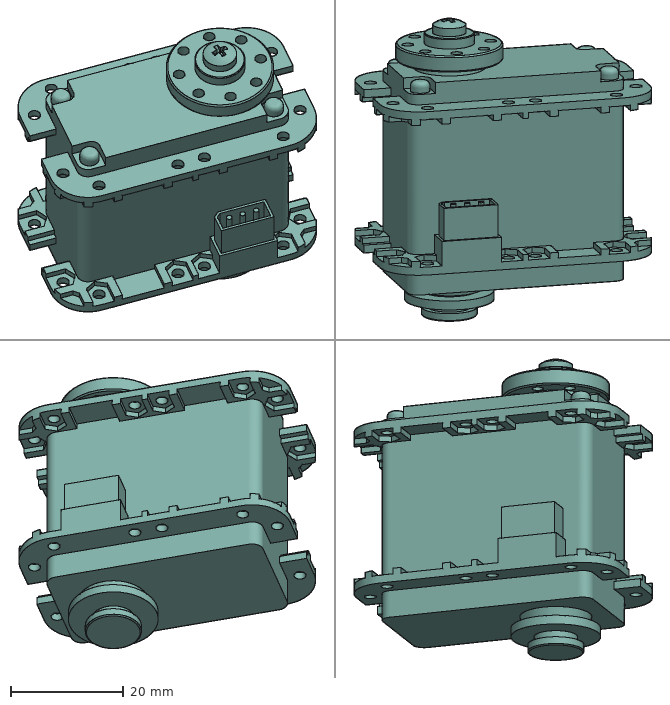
import cadquery as cq
import math


case_x = 20.0
case_y = 40.0
case_z = 39.0
case_corner_radius = 2.05
axis_y = case_x / 2

recess_size = 4.7
recess_depth = 2.0
recess_corner_radius = 1.6
screw_inset = 2.5
screw_diameter = 3.5
screw_height = 1.9
screw_dome_radius = 0.9

boss_base_diameter = 12.85
boss_end_diameter = 12.2
top_boss_height = 1.45
bottom_boss_height = 1.65

flange_x = 30.0
flange_y = 50.0
flange_corner_radius = 7.1
plate_thickness = 1.45
rib_height = 1.05
rib_width = 1.5
slot_width = 6.0
lower_flange_z = 4.95
upper_flange_drop = 3.9
hole_diameter = 2.1
hole_inset = 2.5
inner_hole_y = 2.5
outer_hole_y = 17.5
end_hole_x = 7.5
nut_width = 4.0
corner_pocket_bevel = 0.9

socket_base_y = 11.0
socket_base_top = 10.95
socket_y = 10.0
socket_top = 16.9
socket_step = 0.5
socket_wall = 0.5
socket_bevel = 1.0
pin_diameter = 1.0
pin_pitch = 2.55
pin_shift = 0.3
pin_count = 3

horn_diameter = 19.2
horn_thickness = 3.0
horn_chamfer = 0.25
collar_diameter = 9.0
collar_height = 1.9
collar_chamfer = 0.15
horn_hole_diameter = 2.0
horn_hole_circle_radius = 7.5
horn_hole_count = 8
horn_turn = -5.3
head_diameter = 6.0
head_side_height = 1.45
head_height = 2.45
drive_length = 3.15
drive_width = 0.75
drive_core_diameter = 1.1
drive_depth = 1.2
drive_turn = 14.0

washer_diameter = 16.0
washer_thickness = 1.65
washer_hub_height = 0.465
bushing_neck_diameter = 7.8
bushing_neck_height = 1.45
bushing_cap_diameter = 10.0
bushing_cap_height = 1.45
bushing_chamfer = 0.2

nut_corner_diameter = nut_width / math.cos(math.radians(30))
side_hole_x = flange_x / 2 - hole_inset
end_hole_y = flange_y / 2 - hole_inset
rib_reach = nut_width / 2 + rib_width
horn_z = case_z + top_boss_height
collar_z = horn_z + horn_thickness
head_z = collar_z + collar_height
washer_hub_z = -bottom_boss_height
washer_z = washer_hub_z - washer_hub_height
neck_z = washer_z - washer_thickness
cap_z = neck_z - bushing_neck_height

four_corners = [(sx, sy) for sx in (-1, 1) for sy in (-1, 1)]
side_holes = [(sx * side_hole_x, sy * y) for sx, sy in four_corners for y in (inner_hole_y, outer_hole_y)]
end_holes = [(sx * end_hole_x, sy * end_hole_y) for sx, sy in four_corners]


def block(x_size, y_size, z_from, z_to, x=0, y=0):
    """A box centred on (x, y) between two heights."""
    return cq.Workplane("XY", origin=(x, y, z_from)).box(
        x_size, y_size, z_to - z_from, centered=(True, True, False)
    )


def disc(diameter, z_from, z_to, x=0, y=axis_y):
    """An upright cylinder, on the shaft axis unless placed elsewhere."""
    return cq.Workplane("XY", origin=(x, y, z_from)).circle(diameter / 2).extrude(z_to - z_from)


def boss(start_z, end_z):
    """A cone that narrows from the case towards its free end."""
    return (
        cq.Workplane("XY", origin=(0, axis_y, start_z))
        .circle(boss_base_diameter / 2)
        .workplane(offset=end_z - start_z)
        .circle(boss_end_diameter / 2)
        .loft(ruled=True)
    )


def nut_pocket(x, y, outward_x, outward_y):
    """A hexagon round a hole, one corner pointing inwards, opened out through the flange edge."""
    turn = math.degrees(math.atan2(outward_y, outward_x))
    hexagon = cq.Workplane("XY").polygon(6, nut_corner_diameter).extrude(rib_height)
    opening = block(2 * hole_inset, nut_width, 0, rib_height, x=hole_inset)
    pocket = hexagon.union(opening).rotate((0, 0, 0), (0, 0, 1), turn)
    return pocket.translate((x, y, plate_thickness))


def corner_pocket(sx, sy):
    """The floor outside the ribs of one rounded flange corner, bevelled on its inner side."""
    inner_x = end_hole_x + rib_reach
    inner_y = outer_hole_y + rib_reach
    outer_x = flange_x / 2
    outer_y = flange_y / 2
    outline = [
        (inner_x + corner_pocket_bevel, inner_y),
        (outer_x, inner_y),
        (outer_x, outer_y),
        (inner_x, outer_y),
        (inner_x, inner_y + corner_pocket_bevel),
    ]
    return (
        cq.Workplane("XY", origin=(0, 0, plate_thickness))
        .polyline([(sx * x, sy * y) for x, y in outline])
        .close()
        .extrude(rib_height)
    )


def mounting_flange():
    """A plate lying on Z = 0 with ribs on top round its nut pockets."""
    rib_top = plate_thickness + rib_height
    flange = block(flange_x, flange_y, 0, rib_top).edges("|Z").fillet(flange_corner_radius)

    flange = flange.cut(block(slot_width, flange_y, 0, plate_thickness))
    flange = flange.cut(block(2 * (end_hole_x - rib_reach), flange_y, plate_thickness, rib_top))

    gap_start = inner_hole_y + rib_reach
    gap_end = outer_hole_y - rib_reach
    for sy in (-1, 1):
        gap_y = sy * (gap_start + gap_end) / 2
        flange = flange.cut(block(flange_x, gap_end - gap_start, plate_thickness, rib_top, y=gap_y))

    for x, y in side_holes:
        flange = flange.cut(nut_pocket(x, y, math.copysign(1, x), 0))
    for x, y in end_holes:
        flange = flange.cut(nut_pocket(x, y, 0, math.copysign(1, y)))
    for sx, sy in four_corners:
        flange = flange.cut(corner_pocket(sx, sy))

    for x, y in side_holes + end_holes:
        flange = flange.cut(disc(hole_diameter, 0, rib_top, x, y))
    return flange


def connector():
    """A three-pin socket on a base, on the -X side of the case."""
    wall_x = -case_x / 2
    base_depth = (flange_x - case_x) / 2
    base = block(
        base_depth, socket_base_y, lower_flange_z, socket_base_top, wall_x - base_depth / 2, axis_y
    )
    depth = base_depth - socket_step
    socket_x = wall_x - depth / 2
    socket = block(depth, socket_y, socket_base_top, socket_top, socket_x, axis_y)
    socket = socket.edges("|Z and >X and >Y").chamfer(socket_bevel)
    outline = socket.faces("<Z").wires().toPending().workplane()
    cavity = outline.offset2D(-socket_wall).extrude(socket_base_top - socket_top, combine=False)
    body = base.union(socket.cut(cavity))
    for i in range(pin_count):
        pin_y = axis_y + (i - (pin_count - 1) / 2) * pin_pitch
        pin = disc(pin_diameter, socket_base_top, socket_top, socket_x + pin_shift, pin_y)
        body = body.union(pin)
    return body


def case_screw(x, y):
    """A round-topped screw head standing on a recess floor."""
    floor_z = case_z - recess_depth
    head = disc(screw_diameter, floor_z, floor_z + screw_height, x, y)
    return head.faces(">Z").edges().fillet(screw_dome_radius)


def make_housing():
    """The case with its corner recesses, flanges, case screws, connectors and shaft bosses."""
    case = block(case_x, case_y, 0, case_z).edges("|Z").fillet(case_corner_radius)
    housing = case

    for sx, sy in four_corners:
        recess = block(2 * recess_size, 2 * recess_size, case_z - recess_depth, case_z)
        recess = recess.edges("|Z").fillet(recess_corner_radius)
        housing = housing.cut(recess.translate((sx * case_x / 2, sy * case_y / 2, 0)))

    flange = mounting_flange()
    lower = flange.translate((0, 0, lower_flange_z)).cut(case)
    upper = flange.mirror("XY").translate((0, 0, case_z - upper_flange_drop)).cut(case)
    housing = housing.union(lower).union(upper)

    for sx, sy in four_corners:
        screw_x = sx * (case_x / 2 - screw_inset)
        screw_y = sy * (case_y / 2 - screw_inset)
        housing = housing.union(case_screw(screw_x, screw_y))

    for turn in (0, 180):
        housing = housing.union(connector().rotate((0, axis_y, 0), (0, axis_y, 1), turn))

    housing = housing.union(boss(case_z, horn_z))
    return housing.union(boss(0, washer_hub_z))


def make_horn():
    """A drilled disc with a collar on top."""
    plate = disc(horn_diameter, horn_z, collar_z).faces("<Z or >Z").edges().chamfer(horn_chamfer)
    for i in range(horn_hole_count):
        angle = math.radians(horn_turn + i * 360 / horn_hole_count)
        x = horn_hole_circle_radius * math.cos(angle)
        y = axis_y + horn_hole_circle_radius * math.sin(angle)
        plate = plate.cut(disc(horn_hole_diameter, horn_z, collar_z, x, y))
    collar = disc(collar_diameter, collar_z, head_z).faces(">Z").edges().chamfer(collar_chamfer)
    return plate.union(collar)


def make_horn_screw():
    """A domed head with a cross recess whose arms slope down to a round core."""
    radius = head_diameter / 2
    rise = head_height - head_side_height
    sphere_radius = (radius**2 + rise**2) / (2 * rise)
    middle_r = radius / 2
    middle_z = head_height - sphere_radius + math.sqrt(sphere_radius**2 - middle_r**2)
    head = (
        cq.Workplane("XZ")
        .lineTo(radius, 0)
        .lineTo(radius, head_side_height)
        .threePointArc((middle_r, middle_z), (0, head_height))
        .close()
        .revolve(360, (0, 0, 0), (0, 1, 0))
    )
    drive_floor = head_height - drive_depth
    head = head.cut(disc(drive_core_diameter, drive_floor, head_height, 0, 0))
    arm = (
        cq.Workplane("XZ")
        .moveTo(-drive_length / 2, head_height)
        .lineTo(drive_length / 2, head_height)
        .lineTo(drive_core_diameter / 2, drive_floor)
        .lineTo(-drive_core_diameter / 2, drive_floor)
        .close()
        .extrude(drive_width / 2, both=True)
    )
    for turn in (drive_turn, drive_turn + 90):
        head = head.cut(arm.rotate((0, 0, 0), (0, 0, 1), turn))
    return head.translate((0, axis_y, head_z))


def make_washer():
    """A washer with a low hub that bears on the bottom boss."""
    hub = disc(bushing_cap_diameter, washer_z, washer_hub_z)
    return disc(washer_diameter, neck_z, washer_z).union(hub)


def make_bushing():
    """A narrow neck under the washer, ending in a wider cap."""
    neck = disc(bushing_neck_diameter, cap_z, neck_z)
    cap = disc(bushing_cap_diameter, cap_z - bushing_cap_height, cap_z)
    cap = cap.faces("<Z").edges().chamfer(bushing_chamfer)
    return neck.union(cap)


housing = make_housing()
horn = make_horn()
horn_screw = make_horn_screw()
washer = make_washer()
bushing = make_bushing()

result = cq.Compound.makeCompound(
    [housing.val(), horn.val(), horn_screw.val(), washer.val(), bushing.val()]
)